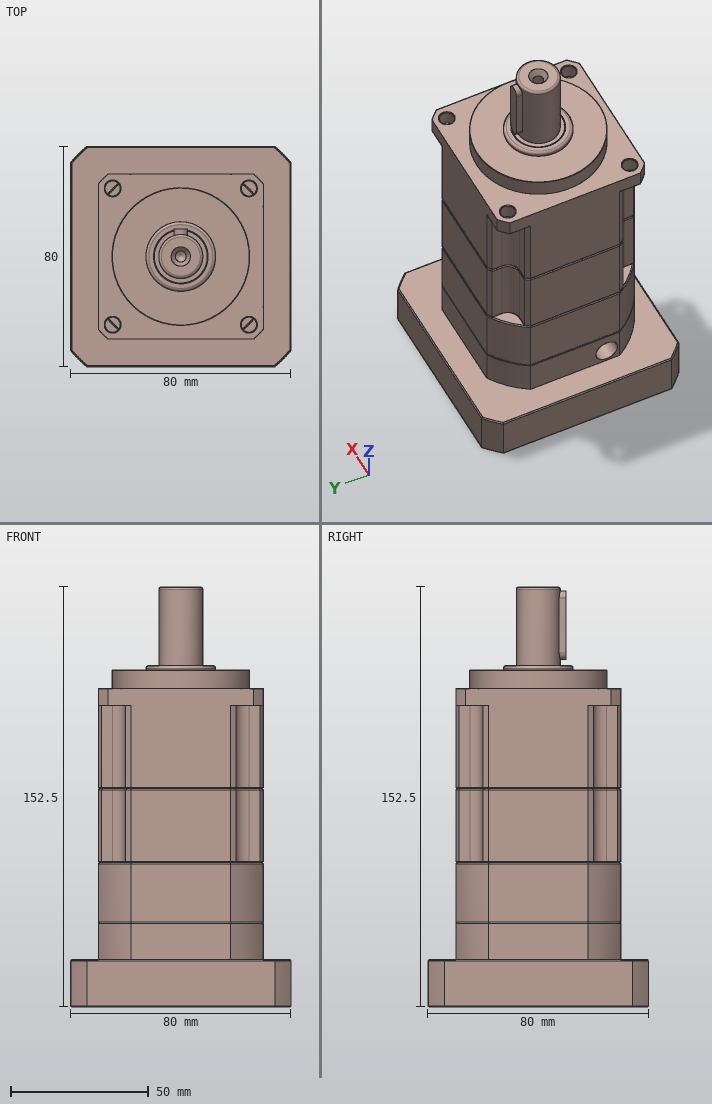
import cadquery as cq
import math

BASE_TOP = 17.2
ADAPTER_TOP = 30.8
INPUT_STAGE_TOP = 52.5
OUTPUT_STAGE_TOP = 79.3
FLANGE_BOTTOM = 109.5
FLANGE_TOP = 115.6
PILOT_TOP = 122.3
COLLAR_TOP = 124.0
SHAFT_TOP = 152.5

BASE_WIDTH = 80.0
BASE_CORNER_RADIUS = 52.6
BASE_EDGE_CHAMFER = 0.5

BODY_WIDTH = 60.0
BOLT_CIRCLE_DIAMETER = 70.0
BOLT_CIRCLE_RADIUS = BOLT_CIRCLE_DIAMETER / 2
BODY_CORNER_RADIUS = BOLT_CIRCLE_RADIUS
FLANGE_CORNER_RADIUS = 40.0
JOINT_CHAMFER = 0.5
BOLT_OFFSET = BOLT_CIRCLE_RADIUS / math.sqrt(2)
BOLT_HOLE_RADIUS = 2.7
BOLT_HOLE_CHAMFER = 0.3
BOLT_SLOT_RADIUS = 4.7

PILOT_RADIUS = 25.0
PILOT_CHAMFER = 0.2
COLLAR_RADIUS = 12.7
COLLAR_FILLET = 1.0
SEAL_BORE_RADIUS = 9.9

ACCESS_Y = -12.8
ACCESS_Z = 22.5
ACCESS_RADIUS = 4.4
ACCESS_DEPTH = 9.2
SCREW_HOLE_RADIUS = 2.0
SCREW_HOLE_DEPTH = 6.1
SCREW_HOLE_CHAMFER = 0.6

SHAFT_DIAMETER = 16.0
SHAFT_RADIUS = SHAFT_DIAMETER / 2
SHAFT_EDGE_FILLET = 0.9
SHOULDER_RADIUS = 9.6
CENTRE_HOLE_RADIUS = 2.0
CENTRE_HOLE_DEPTH = 15.2
DRILL_TIP_DEPTH = 1.2
COUNTERSINK_RADIUS = 3.5
COUNTERSINK_DEPTH = 2.3

KEY_WIDTH = 5.0
KEY_LENGTH = 25.0
KEY_TOP_GAP = 1.4
KEY_HEIGHT = KEY_WIDTH
KEY_OUTER_Y = 10.0


def cylinder(radius, bottom, top):
    return cq.Workplane("XY").workplane(offset=bottom).circle(radius).extrude(top - bottom)


def rounded_square(width, corner_radius, bottom, top):
    """Square block whose corners are turned down to a circle about the main axis."""
    block = cq.Workplane("XY").workplane(offset=bottom).rect(width, width).extrude(top - bottom)
    return block.intersect(cylinder(corner_radius, bottom, top))


def bolt_points():
    return [(sx * BOLT_OFFSET, sy * BOLT_OFFSET) for sx in (-1, 1) for sy in (-1, 1)]


def cut_bolt_slots(block, bottom, top):
    """Cut a round-bottomed channel into each corner, open to both neighbouring faces."""
    height = top - bottom
    reach = BODY_WIDTH
    diagonal = BOLT_SLOT_RADIUS / math.sqrt(2)
    for x, y in bolt_points():
        sx = math.copysign(1, x)
        sy = math.copysign(1, y)
        inner_x = x - sx * BOLT_SLOT_RADIUS
        inner_y = y - sy * BOLT_SLOT_RADIUS
        slot = (
            cq.Workplane("XY")
            .workplane(offset=bottom)
            .moveTo(inner_x, sy * reach)
            .lineTo(inner_x, y)
            .threePointArc((x - sx * diagonal, y - sy * diagonal), (x, inner_y))
            .lineTo(sx * reach, inner_y)
            .lineTo(sx * reach, sy * reach)
            .close()
            .extrude(height)
        )
        block = block.cut(slot)
    return block


def make_base():
    base = rounded_square(BASE_WIDTH, BASE_CORNER_RADIUS, 0, BASE_TOP)
    return base.faces("<Z or >Z").chamfer(BASE_EDGE_CHAMFER)


def make_stages():
    """Stack of gearbox sections whose meeting edges are chamfered."""
    adapter = rounded_square(BODY_WIDTH, BODY_CORNER_RADIUS, BASE_TOP, ADAPTER_TOP)
    adapter = adapter.faces(">Z").chamfer(JOINT_CHAMFER)

    input_stage = rounded_square(BODY_WIDTH, BODY_CORNER_RADIUS, ADAPTER_TOP, INPUT_STAGE_TOP)
    input_stage = input_stage.faces(">Z").chamfer(JOINT_CHAMFER)

    output_stage = rounded_square(BODY_WIDTH, BODY_CORNER_RADIUS, INPUT_STAGE_TOP, OUTPUT_STAGE_TOP)
    output_stage = cut_bolt_slots(output_stage, INPUT_STAGE_TOP, OUTPUT_STAGE_TOP)
    output_stage = output_stage.faces("<Z or >Z").chamfer(JOINT_CHAMFER)

    bearing_stage = rounded_square(BODY_WIDTH, BODY_CORNER_RADIUS, OUTPUT_STAGE_TOP, FLANGE_BOTTOM)
    bearing_stage = cut_bolt_slots(bearing_stage, OUTPUT_STAGE_TOP, FLANGE_BOTTOM)
    bearing_stage = bearing_stage.faces("<Z").chamfer(JOINT_CHAMFER)

    return adapter.union(input_stage).union(output_stage).union(bearing_stage)


def make_flange():
    flange = rounded_square(BODY_WIDTH, FLANGE_CORNER_RADIUS, FLANGE_BOTTOM, FLANGE_TOP)
    holes = (
        cq.Workplane("XY")
        .workplane(offset=FLANGE_BOTTOM)
        .pushPoints(bolt_points())
        .circle(BOLT_HOLE_RADIUS)
        .extrude(FLANGE_TOP - FLANGE_BOTTOM)
    )
    flange = flange.cut(holes)
    smallest_circles = cq.selectors.RadiusNthSelector(0)
    hole_rims = flange.faces(">Z").edges("%CIRCLE").edges(smallest_circles)
    return hole_rims.chamfer(BOLT_HOLE_CHAMFER)


def make_pilot():
    pilot = cylinder(PILOT_RADIUS, FLANGE_TOP, PILOT_TOP).faces(">Z").chamfer(PILOT_CHAMFER)
    collar = cylinder(COLLAR_RADIUS, PILOT_TOP, COLLAR_TOP).faces(">Z").edges().fillet(COLLAR_FILLET)
    return pilot.union(collar)


def access_hole():
    face_x = -BODY_WIDTH / 2
    floor_x = face_x + ACCESS_DEPTH
    wide = (
        cq.Workplane("YZ", origin=(face_x, ACCESS_Y, ACCESS_Z))
        .circle(ACCESS_RADIUS)
        .extrude(ACCESS_DEPTH)
    )
    narrow = (
        cq.Workplane("YZ", origin=(floor_x, ACCESS_Y, ACCESS_Z))
        .circle(SCREW_HOLE_RADIUS)
        .extrude(SCREW_HOLE_DEPTH)
    )
    lead_in = (
        cq.Workplane("YZ", origin=(floor_x, ACCESS_Y, ACCESS_Z))
        .circle(SCREW_HOLE_RADIUS + SCREW_HOLE_CHAMFER)
        .workplane(offset=SCREW_HOLE_CHAMFER)
        .circle(SCREW_HOLE_RADIUS)
        .loft(ruled=True)
    )
    return wide.union(narrow).union(lead_in)


def make_housing():
    body = make_base().union(make_stages()).union(make_flange()).union(make_pilot())
    seal_bore = cylinder(SEAL_BORE_RADIUS, PILOT_TOP, COLLAR_TOP)
    return body.cut(seal_bore).cut(access_hole())


def make_key():
    mid_z = SHAFT_TOP - KEY_TOP_GAP - KEY_LENGTH / 2
    return (
        cq.Workplane("XZ", origin=(0, KEY_OUTER_Y, mid_z))
        .slot2D(KEY_LENGTH, KEY_WIDTH, 90)
        .extrude(KEY_HEIGHT)
    )


def centre_hole():
    """Drilled hole with a conical bottom and a countersunk mouth, turned about the main axis."""
    hole_bottom = SHAFT_TOP - CENTRE_HOLE_DEPTH
    return (
        cq.Workplane("XZ")
        .moveTo(0, hole_bottom - DRILL_TIP_DEPTH)
        .lineTo(CENTRE_HOLE_RADIUS, hole_bottom)
        .lineTo(CENTRE_HOLE_RADIUS, SHAFT_TOP - COUNTERSINK_DEPTH)
        .lineTo(COUNTERSINK_RADIUS, SHAFT_TOP)
        .lineTo(0, SHAFT_TOP)
        .close()
        .revolve(360, (0, 0), (0, 1))
    )


def make_shaft(key):
    journal = cylinder(SHAFT_RADIUS, PILOT_TOP, SHAFT_TOP).faces(">Z").edges().fillet(SHAFT_EDGE_FILLET)
    shoulder = cylinder(SHOULDER_RADIUS, PILOT_TOP, COLLAR_TOP)
    return journal.union(shoulder).cut(centre_hole()).cut(key)


housing = make_housing()
key = make_key()
shaft = make_shaft(key)

result = cq.Compound.makeCompound([housing.val(), shaft.val(), key.val()])